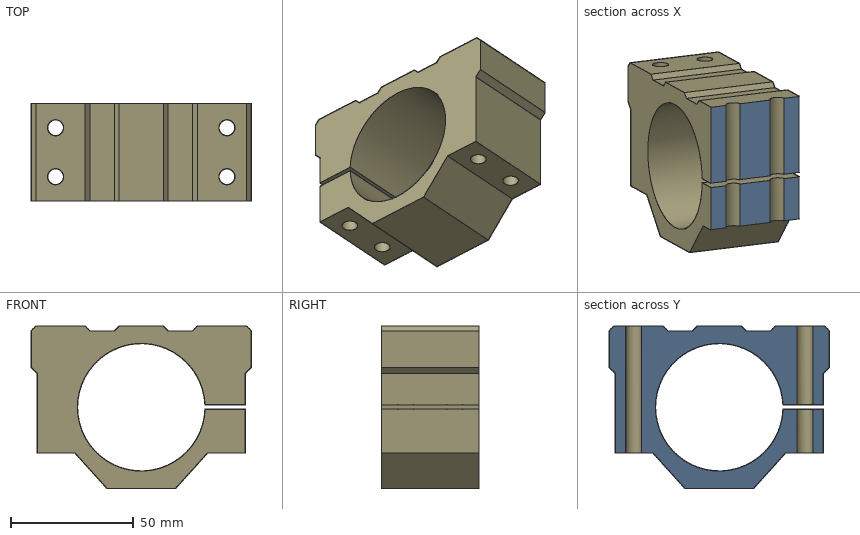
import cadquery as cq

length_y = 40.0
head_width = 90.0
height = 66.5
top_z = 33.25
bottom_z = top_z - height

head_chamfer = 2.0
head_side_bottom_z = top_z - 17.0
body_width = 85.0
undercut = (head_width - body_width) / 2

shoulder_z = top_z - 52.0
foot_top_width = 54.2
foot_bottom_width = 28.0

bore_diameter = 52.0
lower_jaw_height = 18.0
slit_bottom_z = shoulder_z + lower_jaw_height
slit_width = 1.7

groove_offset_x = 16.0
groove_top_width = 14.0
groove_depth = 2.0

hole_diameter = 6.4
hole_spacing_x = 70.0
hole_spacing_y = 20.0


def extrude_along_y(outline):
    """Extrude a closed XZ outline over the full length, centred on Y."""
    return outline.extrude(length_y / 2, both=True)


def make_body():
    right_side = [
        (foot_bottom_width / 2, bottom_z),
        (foot_top_width / 2, shoulder_z),
        (body_width / 2, shoulder_z),
        (body_width / 2, head_side_bottom_z - undercut),
        (head_width / 2, head_side_bottom_z),
        (head_width / 2, top_z - head_chamfer),
        (head_width / 2 - head_chamfer, top_z),
    ]
    left_side = [(-x, z) for x, z in reversed(right_side)]
    return extrude_along_y(cq.Workplane("XZ").polyline(right_side + left_side).close())


def make_bore():
    return extrude_along_y(cq.Workplane("XZ").circle(bore_diameter / 2))


def make_slit():
    """Slot from the bore axis out through the +X side."""
    return cq.Workplane("XY", origin=(0, 0, slit_bottom_z)).box(
        head_width / 2, length_y, slit_width, centered=(False, True, False)
    )


def make_groove(center_x):
    half_top = groove_top_width / 2
    half_floor = half_top - groove_depth
    floor_z = top_z - groove_depth
    outline = [
        (center_x - half_top, top_z),
        (center_x - half_floor, floor_z),
        (center_x + half_floor, floor_z),
        (center_x + half_top, top_z),
    ]
    return extrude_along_y(cq.Workplane("XZ").polyline(outline).close())


def make_mounting_holes():
    return (
        cq.Workplane("XY", origin=(0, 0, bottom_z))
        .rarray(hole_spacing_x, hole_spacing_y, 2, 2)
        .circle(hole_diameter / 2)
        .extrude(height)
    )


result = make_body().cut(make_bore()).cut(make_slit())
for side in (-1, 1):
    result = result.cut(make_groove(side * groove_offset_x))
result = result.cut(make_mounting_holes())